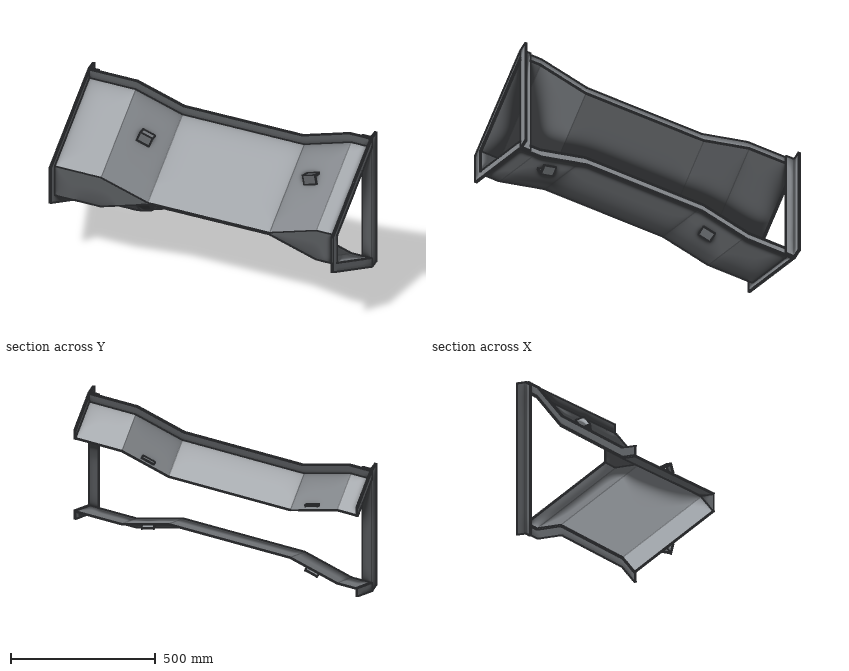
import cadquery as cq
import math

LENGTH = 1064.0
DEPTH = 381.0
HEIGHT = 542.0

SIDE_ANGLE = math.radians(30)
SIDE_SLOPE = math.tan(SIDE_ANGLE)

PLATE = 6.2
SHEET = 5.0
SIDE_RIM = 32.0
FRONT_RIM = 37.0

END_FOLD = 179.0
TAPER = 175.0
WAIST = 456.0
WAIST_DROP = 57.0

BACK_LEG_Y = 38.0
BACK_LEG_X = 37.0
BEND_INNER = 3.0
BEND_OUTER = 3.0
BRACKET_LEG = 34.0
BRACKET_LENGTH = 48.0
BRACKET_THICKNESS = 5.8
BRACKET_APEX_Y = 199.0
BRACKET_SHIFT = 4.0

HALF_HEIGHT = HEIGHT / 2
RIM_BACK = DEPTH - BACK_LEG_Y
LIP_FRONT = RIM_BACK - PLATE
SHEET_FRONT = FRONT_RIM - SHEET
FOLDS = [END_FOLD, END_FOLD + TAPER, END_FOLD + TAPER + WAIST, END_FOLD + 2 * TAPER + WAIST]
MIDDLE_X = (FOLDS[0] + FOLDS[3]) / 2
TAPER_ANGLE = math.atan(WAIST_DROP / TAPER)


def rim_z(y):
    """Height of the sloped outer rim edge of the end flanges."""
    return HALF_HEIGHT - (RIM_BACK - y) * SIDE_SLOPE


def inner_z(y):
    """Height of the inner face of the upper side sheet at the ends."""
    return rim_z(y) - SIDE_RIM / math.cos(SIDE_ANGLE)


def outer_z(y):
    """Height of the outer face of the upper side sheet at the ends."""
    return inner_z(y) + SHEET / math.cos(SIDE_ANGLE)


def fold_line(end_z, shift=0.0):
    """Folded line in (x, z) between the end flanges; shift moves the folds toward the waist side."""
    low_z = end_z - WAIST_DROP
    return [
        (PLATE, end_z),
        (FOLDS[0] + shift, end_z),
        (FOLDS[1] + shift, low_z),
        (FOLDS[2] - shift, low_z),
        (FOLDS[3] - shift, end_z),
        (LENGTH - PLATE, end_z),
    ]


def prism(points, y, vector):
    """Sweep an (x, z) outline that lies at depth y straight along a vector."""
    wire = cq.Wire.makePolygon([cq.Vector(x, y, z) for x, z in points], close=True)
    return cq.Workplane(cq.Solid.extrudeLinear(wire, [], cq.Vector(*vector)))


def mirror_z(body):
    return body.mirror("XY")


def make_channel():
    """Folded three-sided channel: two sloped side sheets and a front sheet."""
    run = RIM_BACK - SHEET_FRONT
    side_outline = fold_line(outer_z(RIM_BACK)) + fold_line(inner_z(RIM_BACK))[::-1]
    side = prism(side_outline, RIM_BACK, (0, -run, -run * SIDE_SLOPE))
    edge = fold_line(outer_z(SHEET_FRONT))
    front_outline = edge + [(x, -z) for x, z in reversed(edge)]
    front = prism(front_outline, SHEET_FRONT, (0, SHEET, 0))
    return front.union(side).union(mirror_z(side))


def make_end_flange(x):
    """U-shaped flange plate, open at the back, with its left face at x."""
    outer = [(0, rim_z(0)), (RIM_BACK, HALF_HEIGHT), (RIM_BACK, -HALF_HEIGHT), (0, -rim_z(0))]
    inner = [
        (FRONT_RIM, inner_z(FRONT_RIM)),
        (RIM_BACK, inner_z(RIM_BACK)),
        (RIM_BACK, -inner_z(RIM_BACK)),
        (FRONT_RIM, -inner_z(FRONT_RIM)),
    ]
    plane = cq.Workplane("YZ", origin=(x, 0, 0))
    return plane.polyline(outer).close().extrude(PLATE).cut(plane.polyline(inner).close().extrude(PLATE))


def make_lip():
    """Flat lip along the upper back edge, from the side sheet outward, following the folds."""
    width = HALF_HEIGHT - outer_z(LIP_FRONT)
    shift = width * math.tan(TAPER_ANGLE / 2)
    outline = fold_line(HALF_HEIGHT, shift) + fold_line(HALF_HEIGHT - width)[::-1]
    return prism(outline, LIP_FRONT, (0, PLATE, 0)).cut(make_channel())


def make_flange_frame():
    """Both end flanges joined by the two lips."""
    lip = make_lip()
    frame = make_end_flange(0).union(make_end_flange(LENGTH - PLATE))
    return frame.union(lip).union(mirror_z(lip))


def angle_section(plane, leg_x, leg_y, thickness, length):
    """L section with its outer corner at the plane origin, legs along +x and +y."""
    outline = [
        (0, 0), (leg_x, 0), (leg_x, thickness), (thickness, thickness), (thickness, leg_y), (0, leg_y),
    ]
    return cq.Workplane(plane).polyline(outline).close().extrude(length / 2, both=True)


def make_back_angle():
    """Left back angle: one leg against the rim, the other standing up in the end plane."""
    plane = cq.Plane(origin=(0, RIM_BACK, 0), xDir=(1, 0, 0), normal=(0, 0, 1))
    body = angle_section(plane, BACK_LEG_X, BACK_LEG_Y, PLATE, HEIGHT)
    inner = cq.selectors.NearestToPointSelector((PLATE, RIM_BACK + PLATE, 0))
    outer = cq.selectors.NearestToPointSelector((0, RIM_BACK, 0))
    return body.edges(inner).fillet(BEND_INNER).edges(outer).fillet(BEND_OUTER)


def make_bracket():
    """Upper left bracket, a V standing with both toes on the tapered side sheet."""
    along = cq.Vector(math.cos(TAPER_ANGLE), 0, -math.sin(TAPER_ANGLE))
    normal = cq.Vector(WAIST_DROP / TAPER, -SIDE_SLOPE, 1).normalized()
    across = normal.cross(along)
    rise = (BRACKET_LEG + BRACKET_THICKNESS) / math.sqrt(2)
    foot_y = BRACKET_APEX_Y - rise * normal.y
    taper_middle = (FOLDS[0] + FOLDS[1]) / 2
    foot = cq.Vector(taper_middle, foot_y, outer_z(foot_y) - WAIST_DROP / 2) + along * BRACKET_SHIFT
    apex = foot + normal * rise
    leg_direction = -across - normal
    plane = cq.Plane(origin=apex.toTuple(), xDir=leg_direction.toTuple(), normal=along.toTuple())
    return angle_section(plane, BRACKET_LEG, BRACKET_LEG, BRACKET_THICKNESS, BRACKET_LENGTH)


channel = make_channel()
flange_frame = make_flange_frame()

left_angle = make_back_angle()
back_angles = [left_angle, left_angle.mirror("YZ", (LENGTH / 2, 0, 0))]

upper_left = make_bracket()
brackets = []
for bracket in (upper_left, upper_left.mirror("YZ", (MIDDLE_X, 0, 0))):
    brackets += [bracket, mirror_z(bracket)]

bodies = [channel, flange_frame, *back_angles, *brackets]
result = cq.Compound.makeCompound([body.val() for body in bodies])